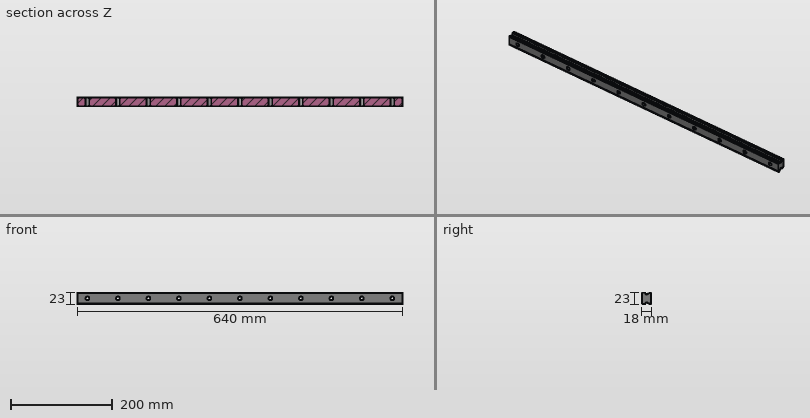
import cadquery as cq
import math

length = 640.0
height = 18.0
width = 23.0
half_width = width / 2

foot_chamfer = 1.6
head_chamfer_height = 0.45
head_chamfer_width = 0.9

track_radius = 2.2
track_center_height = 13.8
track_top_height = 15.76
track_bottom_height = 13.7

foot_land_height = 6.3
head_slope_angle = 30.0
groove_floor_rise = 0.5

hole_diameter = 7.0
hole_pitch = 60.0
hole_end_distance = 20.0
hole_count = round((length - 2 * hole_end_distance) / hole_pitch) + 1

track_center_z = half_width + math.sqrt(track_radius**2 - (track_top_height - track_center_height) ** 2)


def track_point(y):
    """Point on the ball track arc at height y."""
    return y, track_center_z - math.sqrt(track_radius**2 - (y - track_center_height) ** 2)


def groove_floor():
    """Foot-side and head-side ends of the flat groove floor."""
    slope = math.tan(math.radians(head_slope_angle))
    lip_y, lip_z = track_point(track_bottom_height)
    meeting_y = (half_width - lip_z + lip_y * slope + foot_land_height / slope) / (slope + 1 / slope)
    floor_z = lip_z - (lip_y - meeting_y) * slope + groove_floor_rise
    foot_end = (foot_land_height + (half_width - floor_z) * slope, floor_z)
    head_end = (lip_y - (lip_z - floor_z) / slope, floor_z)
    return foot_end, head_end


def make_half_rail():
    """Half of the rail above Z = 0."""
    foot_end, head_end = groove_floor()
    track_middle = track_point((track_top_height + track_bottom_height) / 2)
    profile = (
        cq.Workplane("YZ")
        .moveTo(0, 0)
        .lineTo(0, half_width - foot_chamfer)
        .lineTo(foot_chamfer, half_width)
        .lineTo(foot_land_height, half_width)
        .lineTo(*foot_end)
        .lineTo(*head_end)
        .lineTo(*track_point(track_bottom_height))
        .threePointArc(track_middle, track_point(track_top_height))
        .lineTo(height - head_chamfer_height, half_width)
        .lineTo(height, half_width - head_chamfer_width)
        .lineTo(height, 0)
        .close()
    )
    return profile.extrude(length)


def make_rail():
    """Both halves joined, without a seam at Z = 0."""
    half_rail = make_half_rail()
    return half_rail.union(half_rail.mirror("XY")).clean()


def make_mounting_holes():
    """Row of through-hole cylinders along Y, at mid width."""
    positions = [(hole_end_distance + i * hole_pitch, 0) for i in range(hole_count)]
    return cq.Workplane("XZ").pushPoints(positions).circle(hole_diameter / 2).extrude(-height)


result = make_rail().cut(make_mounting_holes())